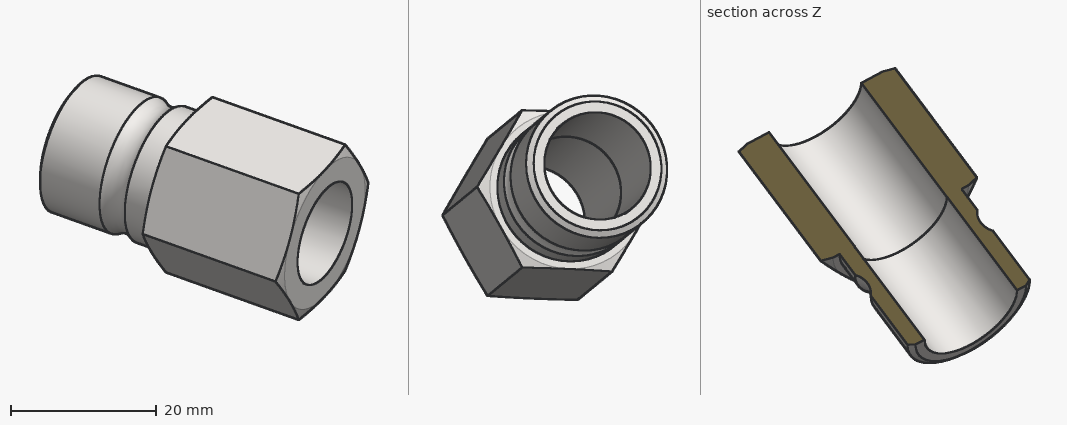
import cadquery as cq
import math

total_length = 40.0
plug_length = 18.0
hex_length = total_length - plug_length
plug_end_x = -total_length / 2
shoulder_x = plug_end_x + plug_length

plug_radius = 19.9 / 2
plug_end_radius = 18.0 / 2
lead_in_angle = 30.0
lead_in_depth = plug_radius - plug_end_radius
lead_in_length = lead_in_depth * math.tan(math.radians(lead_in_angle))
groove_start_x = plug_end_x + 10.0
groove_width = 4.0
groove_depth = 0.7

across_flats = 22.0
across_corners = across_flats * 2 / math.sqrt(3)
corner_chamfer_angle = 15.0

plug_bore_diameter = 15.0
body_bore_diameter = 14.95


def x_cylinder(start_x, length, diameter):
    """Cylinder about the X axis."""
    return cq.Workplane("YZ", origin=(start_x, 0, 0)).circle(diameter / 2).extrude(length)


def revolve_about_x(profile):
    """Full turn of a closed XY profile about the X axis."""
    return profile.revolve(360, (0, 0, 0), (1, 0, 0))


def make_plug():
    groove_middle = (groove_start_x + groove_width / 2, plug_radius - groove_depth)
    profile = (
        cq.Workplane("XY")
        .moveTo(plug_end_x, 0)
        .lineTo(plug_end_x, plug_end_radius)
        .lineTo(plug_end_x + lead_in_length, plug_radius)
        .lineTo(groove_start_x, plug_radius)
        .threePointArc(groove_middle, (groove_start_x + groove_width, plug_radius))
        .lineTo(shoulder_x, plug_radius)
        .lineTo(shoulder_x, 0)
        .close()
    )
    return revolve_about_x(profile)


def make_hex_body():
    prism = (
        cq.Workplane("YZ", origin=(shoulder_x, 0, 0))
        .polygon(6, across_corners)
        .extrude(hex_length)
    )
    face_radius = across_flats / 2
    corner_radius = across_corners / 2
    chamfer_length = (corner_radius - face_radius) * math.tan(math.radians(corner_chamfer_angle))
    far_end_x = shoulder_x + hex_length
    envelope = (
        cq.Workplane("XY")
        .moveTo(shoulder_x, 0)
        .lineTo(shoulder_x, face_radius)
        .lineTo(shoulder_x + chamfer_length, corner_radius)
        .lineTo(far_end_x - chamfer_length, corner_radius)
        .lineTo(far_end_x, face_radius)
        .lineTo(far_end_x, 0)
        .close()
    )
    return prism.intersect(revolve_about_x(envelope))


plug_bore = x_cylinder(plug_end_x, plug_length, plug_bore_diameter)
body_bore = x_cylinder(shoulder_x, hex_length, body_bore_diameter)

result = make_plug().union(make_hex_body()).cut(plug_bore).cut(body_bore)